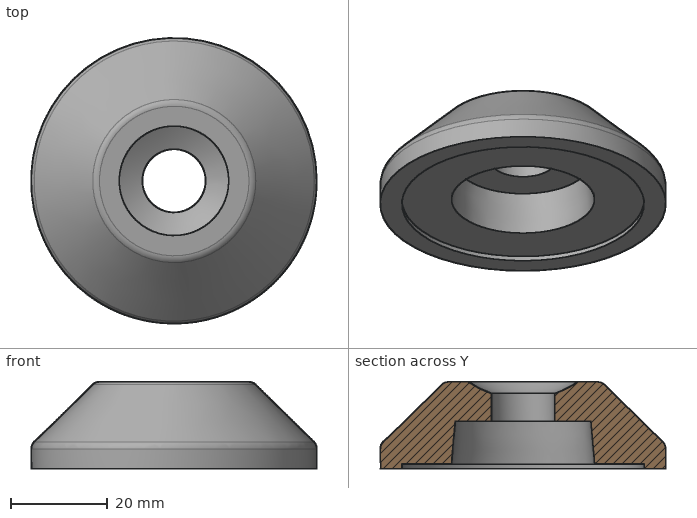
import cadquery as cq
import math

base_diameter = 59.0
height = 18.0
rim_height = 5.0
top_diameter = 32.5
edge_fillet = 2.0

seat_diameter = 22.6
seat_sphere_radius = 20.0

hole_diameter = 13.0
bore_mouth_diameter = 29.48
bore_top = 9.8
bore_taper = 5.0
recess_diameter = 50.0
recess_depth = 1.0


def body():
    """Cylindrical rim carrying a truncated cone, with both outer corners rounded."""
    base_radius = base_diameter / 2
    profile = (
        cq.Workplane("XZ")
        .lineTo(base_radius, 0)
        .lineTo(base_radius, rim_height)
        .lineTo(top_diameter / 2, height)
        .lineTo(0, height)
        .close()
    )
    blank = profile.revolve(360, (0, 0, 0), (0, 1, 0))
    return blank.edges("%CIRCLE and (not <Z)").fillet(edge_fillet)


def seat():
    """Ball that leaves a shallow spherical dish in the top face."""
    center_rise = math.sqrt(seat_sphere_radius**2 - (seat_diameter / 2) ** 2)
    return cq.Workplane("XY", origin=(0, 0, height + center_rise)).sphere(seat_sphere_radius)


def hole():
    """Bolt hole along the whole axis."""
    return cq.Workplane("XY").circle(hole_diameter / 2).extrude(height)


def bore():
    """Tapered bore that opens into the recess and ends at a flat shoulder around the hole."""
    mouth = cq.Workplane("XY", origin=(0, 0, recess_depth)).circle(bore_mouth_diameter / 2)
    return mouth.extrude(bore_top - recess_depth, taper=bore_taper)


def recess():
    """Shallow round recess in the underside."""
    return cq.Workplane("XY").circle(recess_diameter / 2).extrude(recess_depth)


result = body().cut(seat()).cut(hole()).cut(bore()).cut(recess())